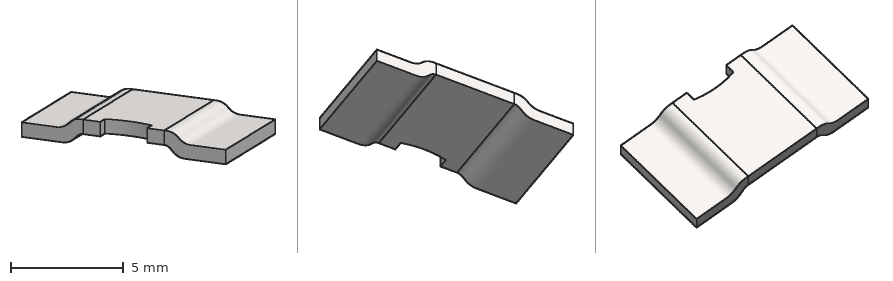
import cadquery as cq
import math

length = 10.0
width = 5.2
height = 1.19
thickness = 0.68
rise = height - thickness

plate_length = 3.98
plate_half = plate_length / 2
notch_width = 2.29
notch_side_depth = 0.49
notch_depth = 0.63

upper_bend_start = 3.28
upper_bend_end = 2.11
upper_bend_middle = (upper_bend_start + upper_bend_end) / 2

lower_slope = math.radians(45)
lower_outer_radius = 0.8
lower_inner_radius = 0.4


def make_plate():
    """Flat centre plate with an arched notch in its front edge."""
    plate = cq.Workplane("XY").box(plate_length, width, thickness, centered=(True, False, False))
    notch = (
        cq.Workplane("XY")
        .moveTo(-notch_width / 2, 0)
        .lineTo(-notch_width / 2, notch_side_depth)
        .threePointArc((0, notch_depth), (notch_width / 2, notch_side_depth))
        .lineTo(notch_width / 2, 0)
        .close()
        .extrude(thickness)
    )
    return plate.cut(notch).translate((0, 0, rise))


def make_end(side):
    """Cranked end that steps down to a foot; side is -1 for left or 1 for right."""
    turn_run = math.sin(lower_slope)
    turn_drop = 1 - math.cos(lower_slope)
    inner_x = plate_half + lower_inner_radius * turn_run
    inner_z = rise - lower_inner_radius * turn_drop
    outer_z = lower_outer_radius * turn_drop
    outer_x = inner_x + (inner_z - outer_z) / math.tan(lower_slope)
    foot_x = outer_x + lower_outer_radius * turn_run

    profile = (
        cq.Workplane("XZ")
        .moveTo(plate_half, rise)
        .lineTo(plate_half, height)
        .lineTo(upper_bend_end, height)
        .tangentArcPoint((upper_bend_middle, height - rise / 2), relative=False)
        .tangentArcPoint((upper_bend_start, thickness), relative=False)
        .lineTo(length / 2, thickness)
        .lineTo(length / 2, 0)
        .lineTo(foot_x, 0)
        .tangentArcPoint((outer_x, outer_z), relative=False)
        .lineTo(inner_x, inner_z)
        .tangentArcPoint((plate_half, rise), relative=False)
        .close()
    )
    end = profile.extrude(-width)
    return end if side > 0 else end.mirror("YZ")


plate = make_plate()
ends = [make_end(side) for side in (-1, 1)]

result = cq.Compound.makeCompound([plate.val(), *[end.val() for end in ends]])